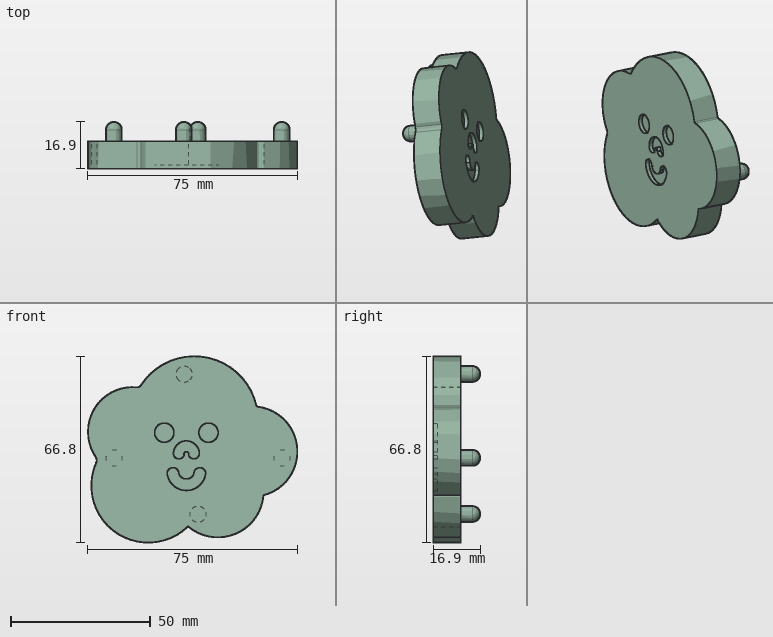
import cadquery as cq

plate_thickness = 10.0

top_petal = (0.5, 10.65, 22.8)
right_petal = (21.2, -0.7, 16.2)
lower_right_petal = (8.9, -15.0, 16.4)
lower_left_petal = (-16.0, -12.9, 20.4)
left_petal = (-21.5, 6.4, 16.05)
petals = [top_petal, right_petal, lower_right_petal, lower_left_petal, left_petal]

rounded_notches = [(-18.75, 22.5, 1.5), (-34.1, -3.75, 2.0), (22.65, 15.75, 0.5)]

face_center_x = -2.3
recess_depth = 1.5
eye_diameter = 6.9
eye_spacing = 15.8
eye_z = 6.1

nose_half_width = 4.65
nose_shoulder_z = -1.4
nose_top_z = 3.15
nostril_offset = 2.6
nostril_bottom_z = -3.3
nose_notch_half_width = 0.8
nose_notch_foot_z = -1.95
nose_notch_top_z = -0.75

mouth_outer_half_width = 6.9
mouth_inner_half_width = 2.7
mouth_corner_z = -8.55
mouth_cap_top_z = -6.45
mouth_outer_bottom_z = -14.6
mouth_inner_bottom_z = -10.5

pin_diameter = 5.8
pin_length = 6.9
pin_places = [(-3.2, 27.1), (-28.3, -2.9), (31.8, -2.9), (1.7, -23.0)]


def front_plane(x=0, z=0, y=0):
    """Sketch plane parallel to the front face, with local y along +Z; it extrudes toward -Y."""
    return cq.Workplane("XZ", origin=(x, y, z))


def make_plate():
    centers = [(x, z) for x, z, radius in petals]
    plate = front_plane().polyline(centers).close().extrude(-plate_thickness)
    for x, z, radius in petals:
        plate = plate.union(front_plane(x, z).circle(radius).extrude(-plate_thickness))
    middle_y = plate_thickness / 2
    for x, z, radius in rounded_notches:
        notch_edge = cq.selectors.NearestToPointSelector((x, middle_y, z))
        plate = plate.edges("|Y").edges(notch_edge).fillet(radius)
    return plate


def make_pin(x, z):
    radius = pin_diameter / 2
    shank_length = pin_length - radius
    shank = front_plane(x, z, plate_thickness).circle(radius).extrude(-shank_length)
    tip = cq.Workplane("XY", origin=(x, plate_thickness + shank_length, z)).sphere(radius)
    return shank.union(tip)


def make_eyes():
    eye_places = [(-eye_spacing / 2, eye_z), (eye_spacing / 2, eye_z)]
    return front_plane(face_center_x).pushPoints(eye_places).circle(eye_diameter / 2).extrude(-recess_depth)


def make_nose():
    return (
        front_plane(face_center_x)
        .moveTo(-nose_half_width, nose_shoulder_z)
        .threePointArc((0, nose_top_z), (nose_half_width, nose_shoulder_z))
        .threePointArc((nostril_offset, nostril_bottom_z), (nose_notch_half_width, nose_notch_foot_z))
        .threePointArc((0, nose_notch_top_z), (-nose_notch_half_width, nose_notch_foot_z))
        .threePointArc((-nostril_offset, nostril_bottom_z), (-nose_half_width, nose_shoulder_z))
        .close()
        .extrude(-recess_depth)
    )


def make_mouth():
    cap_x = (mouth_outer_half_width + mouth_inner_half_width) / 2
    return (
        front_plane(face_center_x)
        .moveTo(-mouth_outer_half_width, mouth_corner_z)
        .threePointArc((0, mouth_outer_bottom_z), (mouth_outer_half_width, mouth_corner_z))
        .threePointArc((cap_x, mouth_cap_top_z), (mouth_inner_half_width, mouth_corner_z))
        .threePointArc((0, mouth_inner_bottom_z), (-mouth_inner_half_width, mouth_corner_z))
        .threePointArc((-cap_x, mouth_cap_top_z), (-mouth_outer_half_width, mouth_corner_z))
        .close()
        .extrude(-recess_depth)
    )


result = make_plate()
for pin_x, pin_z in pin_places:
    result = result.union(make_pin(pin_x, pin_z))
result = result.cut(make_eyes()).cut(make_nose()).cut(make_mouth())